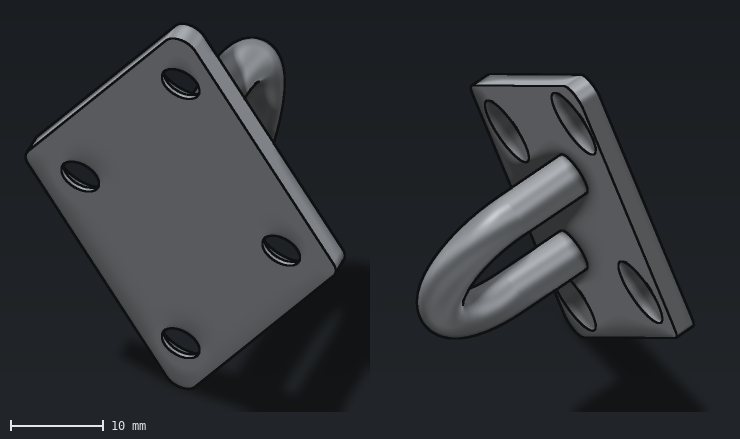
import cadquery as cq
import math

plate_width = 37.0
plate_height = 59.0
plate_thickness = 2.3
corner_radius = 2.0

hole_diameter = 4.5
hole_land = 0.6
countersink_angle = 90
side_hole_offset = 12.0
end_hole_offset = 22.0

wire_diameter = 5.0
overall_depth = 22.8
eye_opening = 14.0

bend_radius = (eye_opening + wire_diameter) / 2
bend_start = overall_depth - bend_radius - wire_diameter / 2


def make_plate():
    """Diamond with rounded corners: a smaller diamond grown by the corner radius."""
    half_width = plate_width / 2 - corner_radius
    half_height = plate_height / 2 - corner_radius
    corners = [(half_width, 0), (0, half_height), (-half_width, 0), (0, -half_height)]
    return (
        cq.Workplane("XZ")
        .polyline(corners)
        .close()
        .offset2D(corner_radius, "arc")
        .extrude(-plate_thickness)
    )


def drill_holes(plate):
    """Four through holes, each countersunk so that a short straight land remains."""
    sink_slope = math.tan(math.radians(countersink_angle / 2))
    sink_diameter = hole_diameter + 2 * (plate_thickness - hole_land) * sink_slope
    centers = [
        (side_hole_offset, 0),
        (0, end_hole_offset),
        (-side_hole_offset, 0),
        (0, -end_hole_offset),
    ]
    return (
        plate.faces(">Y")
        .workplane(origin=(0, plate_thickness, 0))
        .pushPoints(centers)
        .cskHole(hole_diameter, sink_diameter, countersink_angle)
    )


def make_eye():
    """Two straight legs joined by a half-round bend, starting on the plate's back face."""
    path = (
        cq.Workplane("YZ")
        .moveTo(plate_thickness, -bend_radius)
        .lineTo(bend_start, -bend_radius)
        .threePointArc((bend_start + bend_radius, 0), (bend_start, bend_radius))
        .lineTo(plate_thickness, bend_radius)
    )
    return (
        cq.Workplane("XZ", origin=(0, plate_thickness, -bend_radius))
        .circle(wire_diameter / 2)
        .sweep(path)
    )


result = drill_holes(make_plate()).union(make_eye())